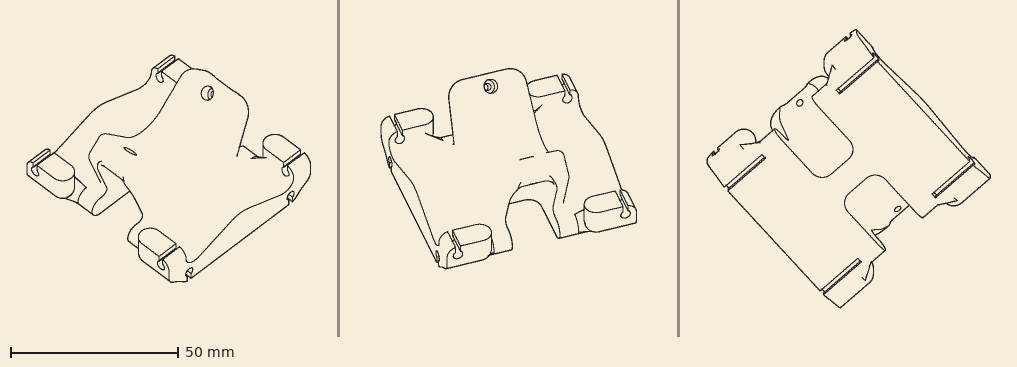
import cadquery as cq
import math

SIZE = 60.0
HALF = SIZE / 2
ROUND = 3.5
SMALL_FILLET = 1.5
EDGE_FILLET = 2.0

BAR_Y = 21.5
BAR_TOP = 2 * ROUND
ROOF_FOOT_Y = 17.9
ROOF_ANGLE = 20.0
ROOF_RIDGE_RADIUS = 10.0

HOOK_TOP = 14.0
HOOK_LENGTH = 15.1
HOOK_WIDTH = 7.2
HOOK_BELLY_Z = 7.4
BELLY_BLEND_RADIUS = 16.5

KEYHOLE_DIAMETER = 3.0
KEYHOLE_SLOT = 1.55

SADDLE_HALF_WIDTH = 11.45
LEG_BOTTOM = 2.15
CRADLE_RADIUS = 10.0
CRADLE_BOTTOM = 17.75
CRADLE_Z = CRADLE_BOTTOM + CRADLE_RADIUS
ARM_LENGTH = 17.0
ARM_THICKNESS = 8.0
TIP_CORNER_RADIUS = 5.0
SCREW_DIAMETER = 2.1
SCREW_HEAD_DIAMETER = 4.2
SCREW_HEAD_DEPTH = 4.0
SCREW_ALONG_ARM = 13.1

HOLLOW_HALF_WIDTH = 7.5
HOLLOW_RADIUS = 20.0
HOLLOW_Y = 23.7
HOLLOW_Z = 3.3
HOLLOW_LIP_RADIUS = 5.0
HOLLOW_CORNER_RADIUS = 4.0

CLEARANCE = 0.05
DIAGONAL = math.sqrt(0.5)


def arm_point(along, depth):
    """(y, z) of a point given along the 45 degree arm and in depth from the cradle axis."""
    return (DIAGONAL * (along + depth), CRADLE_Z + DIAGONAL * (along - depth))


def polar(centre, radius, degrees):
    """(y, z) of a point on a circle."""
    angle = math.radians(degrees)
    return (centre[0] + radius * math.cos(angle), centre[1] + radius * math.sin(angle))


def heading(start, end):
    """Direction in degrees from one point to another."""
    return math.degrees(math.atan2(end[1] - start[1], end[0] - start[0]))


def mirror(point):
    """The (y, z) point on the other side of the XZ plane."""
    return (-point[0], point[1])


def near(x, y, z):
    """Selector for the edge or face whose centre is nearest to a point."""
    return cq.selectors.NearestToPointSelector((x, y, z))


def extrude_x(outline, x_start, x_end):
    """Extrude a YZ outline between two X positions."""
    return outline.extrude(x_end - x_start).translate((x_start, 0, 0))


def on_both_sides(solid):
    """The solid together with its mirror image across the XZ plane."""
    return solid.union(solid.mirror("XZ"))


def on_four_corners(solid):
    """The solid together with its mirror images in X and Y."""
    return on_both_sides(solid.union(solid.mirror("YZ")))


def make_base():
    """Two rounded bars along X joined by a low pitched roof with a rounded ridge."""
    ridge_y = ROOF_RIDGE_RADIUS * math.sin(math.radians(ROOF_ANGLE))
    ridge_z = BAR_TOP + (ROOF_FOOT_Y - ridge_y) * math.tan(math.radians(ROOF_ANGLE))
    ridge_top = ridge_z + ROOF_RIDGE_RADIUS * (1 - math.cos(math.radians(ROOF_ANGLE)))
    outline = (
        cq.Workplane("YZ")
        .moveTo(-BAR_Y, 0)
        .lineTo(BAR_Y, 0)
        .threePointArc((BAR_Y + ROUND, ROUND), (BAR_Y, BAR_TOP))
        .lineTo(ROOF_FOOT_Y, BAR_TOP)
        .lineTo(ridge_y, ridge_z)
        .threePointArc((0, ridge_top), (-ridge_y, ridge_z))
        .lineTo(-ROOF_FOOT_Y, BAR_TOP)
        .lineTo(-BAR_Y, BAR_TOP)
        .threePointArc((-BAR_Y - ROUND, ROUND), (-BAR_Y, 0))
        .close()
    )
    base = extrude_x(outline, -HALF, HALF)
    for y in (-ROOF_FOOT_Y, ROOF_FOOT_Y):
        base = base.edges(near(0, y, BAR_TOP)).fillet(SMALL_FILLET)
    return base


HOOK_WALL_Y = HALF - HOOK_WIDTH
HOOK_END_X = HALF - HOOK_LENGTH
HOOK_ROUND = HOOK_WIDTH / 2
HOOK_STRAIGHT_X = HOOK_END_X + HOOK_ROUND
BAR_CENTRE = (BAR_Y, ROUND)
BELLY_CENTRE = (HALF - HOOK_ROUND, HOOK_BELLY_Z)
THROAT_CENTRE = (HOOK_WALL_Y - ROUND, BAR_TOP + ROUND)
THROAT_FOOT = (THROAT_CENTRE[0], BAR_TOP)
THROAT_TOP = (HOOK_WALL_Y, THROAT_CENTRE[1])
THROAT_MIDDLE = polar(THROAT_CENTRE, ROUND, -45)

BAR_REACH = ROUND + BELLY_BLEND_RADIUS
BELLY_REACH = HOOK_ROUND + BELLY_BLEND_RADIUS
SPACING = math.dist(BAR_CENTRE, BELLY_CENTRE)
BLEND_OFFSET = math.degrees(
    math.acos((SPACING**2 + BAR_REACH**2 - BELLY_REACH**2) / (2 * SPACING * BAR_REACH))
)
BLEND_CENTRE = polar(BAR_CENTRE, BAR_REACH, heading(BAR_CENTRE, BELLY_CENTRE) - BLEND_OFFSET)
BAR_TOUCH_ANGLE = heading(BAR_CENTRE, BLEND_CENTRE)
BELLY_TOUCH_ANGLE = heading(BELLY_CENTRE, BLEND_CENTRE)
BAR_TOUCH = polar(BAR_CENTRE, ROUND, BAR_TOUCH_ANGLE)
BELLY_TOUCH = polar(BELLY_CENTRE, HOOK_ROUND, BELLY_TOUCH_ANGLE)
BLEND_MIDDLE = polar(BLEND_CENTRE, BELLY_BLEND_RADIUS, (BAR_TOUCH_ANGLE + BELLY_TOUCH_ANGLE) / 2 + 180)


def make_hook():
    """Upright hook at the +X +Y corner, with a round throat rising from the bar."""
    outline = (
        cq.Workplane("YZ")
        .moveTo(HOOK_WALL_Y, HOOK_TOP)
        .lineTo(*THROAT_TOP)
        .threePointArc(THROAT_MIDDLE, THROAT_FOOT)
        .lineTo(*BAR_CENTRE)
        .lineTo(*BAR_TOUCH)
        .threePointArc(BLEND_MIDDLE, BELLY_TOUCH)
        .threePointArc(polar(BELLY_CENTRE, HOOK_ROUND, BELLY_TOUCH_ANGLE / 2), (HALF, HOOK_BELLY_Z))
        .lineTo(HALF, HOOK_TOP)
        .close()
    )
    hook = extrude_x(outline, HOOK_STRAIGHT_X, HALF)
    hook = hook.edges(near(HALF, BELLY_CENTRE[0], HOOK_TOP)).fillet(ROUND)
    end = cq.Workplane("XY").circle(HOOK_ROUND).extrude(HOOK_TOP - HOOK_BELLY_Z)
    end = end.union(cq.Workplane("XY").sphere(HOOK_ROUND))
    return hook.union(end.translate((HOOK_STRAIGHT_X, *BELLY_CENTRE)))


def make_hook_flare():
    """Blend that runs the throat and belly of the +X +Y hook out into the plain bar."""
    bar_nose_angle = BAR_TOUCH_ANGLE / 4
    flare_length = HOOK_STRAIGHT_X - HOOK_END_X + SMALL_FILLET
    return (
        cq.Workplane("YZ", origin=(HOOK_STRAIGHT_X, 0, 0))
        .moveTo(*THROAT_FOOT)
        .threePointArc(THROAT_MIDDLE, THROAT_TOP)
        .lineTo(*BELLY_TOUCH)
        .threePointArc(BLEND_MIDDLE, BAR_TOUCH)
        .close()
        .workplane(offset=-flare_length)
        .moveTo(*THROAT_FOOT)
        .lineTo(BAR_Y, BAR_TOP)
        .threePointArc(
            polar(BAR_CENTRE, ROUND, (90 + bar_nose_angle) / 2), polar(BAR_CENTRE, ROUND, bar_nose_angle)
        )
        .threePointArc(polar(BAR_CENTRE, ROUND, (bar_nose_angle + BAR_TOUCH_ANGLE) / 2), BAR_TOUCH)
        .close()
        .loft(ruled=True)
    )


def make_keyhole(length):
    """Keyhole along +Z: a round hole on the axis with a slot opening toward +Y."""
    slot = cq.Workplane("XY").center(0, ROUND / 2).rect(KEYHOLE_SLOT, ROUND).extrude(length)
    return cq.Workplane("XY").circle(KEYHOLE_DIAMETER / 2).extrude(length).union(slot)


def make_keyholes():
    """Keyholes through each hook along Y and into each bar end along X."""
    hook_hole = make_keyhole(HOOK_WIDTH + ROUND).rotate((0, 0, 0), (1, 0, 0), 90)
    hook_hole = hook_hole.translate((HALF - ROUND, HALF, HOOK_TOP - ROUND))
    bar_hole = make_keyhole(HOOK_LENGTH).rotate((0, 0, 0), (0, 0, 1), 180)
    bar_hole = bar_hole.rotate((0, 0, 0), (1, 0, 0), 90).rotate((0, 0, 0), (0, 0, 1), -90)
    bar_hole = bar_hole.translate((HALF, BAR_Y, ROUND))
    return hook_hole, bar_hole


TIP_INNER = arm_point(ARM_LENGTH, CRADLE_RADIUS)
TIP_OUTER = arm_point(ARM_LENGTH, CRADLE_RADIUS + ARM_THICKNESS)


def make_saddle():
    """Two arms spreading at 45 degrees from a round cradle, on legs that stand on the base."""
    cradle_end = arm_point(0, CRADLE_RADIUS)
    leg_slope = (TIP_OUTER[0] - ROOF_FOOT_Y) / (TIP_OUTER[1] - BAR_TOP)
    leg_foot = (ROOF_FOOT_Y - leg_slope * (BAR_TOP - LEG_BOTTOM), LEG_BOTTOM)
    outline = (
        cq.Workplane("YZ")
        .moveTo(*mirror(cradle_end))
        .threePointArc((0, CRADLE_BOTTOM), cradle_end)
        .lineTo(*TIP_INNER)
        .lineTo(*TIP_OUTER)
        .lineTo(*leg_foot)
        .lineTo(*mirror(leg_foot))
        .lineTo(*mirror(TIP_OUTER))
        .lineTo(*mirror(TIP_INNER))
        .close()
    )
    saddle = extrude_x(outline, -SADDLE_HALF_WIDTH, SADDLE_HALF_WIDTH)
    tip_y = (TIP_INNER[0] + TIP_OUTER[0]) / 2
    tip_z = (TIP_INNER[1] + TIP_OUTER[1]) / 2
    for y in (-tip_y, tip_y):
        for x in (-SADDLE_HALF_WIDTH, SADDLE_HALF_WIDTH):
            saddle = saddle.edges(near(x, y, tip_z)).fillet(TIP_CORNER_RADIUS)
    saddle = saddle.edges(near(0, *TIP_INNER)).fillet(EDGE_FILLET)
    for y, z in (TIP_OUTER, mirror(TIP_OUTER)):
        saddle = saddle.edges(near(0, y, z)).fillet(EDGE_FILLET)
    return saddle


def join_saddle(base, saddle):
    """Union of base and saddle with a fillet all round the seam."""
    joined = base.union(saddle)
    seam_zone = cq.selectors.BoxSelector(
        (-SADDLE_HALF_WIDTH - CLEARANCE, -BAR_Y, BAR_TOP - CLEARANCE),
        (SADDLE_HALF_WIDTH + CLEARANCE, BAR_Y, CRADLE_BOTTOM),
        boundingbox=True,
    )
    return joined.edges(seam_zone).fillet(EDGE_FILLET)


def make_hollow():
    """Space under the +Y arm: a large round wall, a rounded lip and the flat arm underside."""
    underside = CRADLE_RADIUS + ARM_THICKNESS
    wall = (HOLLOW_Y, HOLLOW_Z)
    wall_along = DIAGONAL * (wall[0] + wall[1] - CRADLE_Z)
    wall_depth = DIAGONAL * (wall[0] - wall[1] + CRADLE_Z)
    lip_depth = underside - HOLLOW_LIP_RADIUS
    reach = HOLLOW_RADIUS + HOLLOW_LIP_RADIUS
    lip_along = wall_along + math.sqrt(reach**2 - (wall_depth - lip_depth) ** 2)
    lip = arm_point(lip_along, lip_depth)
    lip_start = heading(wall, lip)
    wall_middle = polar(wall, HOLLOW_RADIUS, (lip_start + 180) / 2)
    wall_foot = (HOLLOW_Y - math.sqrt(HOLLOW_RADIUS**2 - HOLLOW_Z**2), 0)
    tip_round = arm_point(ARM_LENGTH - EDGE_FILLET, underside - EDGE_FILLET)
    outline = (
        cq.Workplane("YZ")
        .moveTo(*wall_foot)
        .threePointArc(wall_middle, polar(wall, HOLLOW_RADIUS, lip_start))
        .threePointArc(
            polar(lip, HOLLOW_LIP_RADIUS, (lip_start + 180 - 45) / 2 + 180), arm_point(lip_along, underside)
        )
        .lineTo(*arm_point(ARM_LENGTH - EDGE_FILLET, underside))
        .threePointArc(polar(tip_round, EDGE_FILLET, 0), polar(tip_round, EDGE_FILLET, 45))
        .lineTo(HALF, TIP_OUTER[1])
        .lineTo(HALF, 0)
        .close()
    )
    hollow = extrude_x(outline, -HOLLOW_HALF_WIDTH, HOLLOW_HALF_WIDTH)
    for x in (-HOLLOW_HALF_WIDTH, HOLLOW_HALF_WIDTH):
        hollow = hollow.edges(near(x, *wall_middle)).fillet(HOLLOW_CORNER_RADIUS)
    return hollow


def make_screw_hole():
    """Counterbored hole square to the cradle face of the +Y arm."""
    y, z = arm_point(SCREW_ALONG_ARM, CRADLE_RADIUS)
    plane = cq.Plane(origin=(0, y, z), xDir=(1, 0, 0), normal=(0, DIAGONAL, -DIAGONAL))
    head = cq.Workplane(plane).circle(SCREW_HEAD_DIAMETER / 2).extrude(SCREW_HEAD_DEPTH)
    return head.union(cq.Workplane(plane).circle(SCREW_DIAMETER / 2).extrude(ARM_THICKNESS + CLEARANCE))


result = join_saddle(make_base(), make_saddle())
result = result.union(on_four_corners(make_hook().union(make_hook_flare())))
for opening in (make_hollow(), make_screw_hole()):
    result = result.cut(on_both_sides(opening))
for keyhole in make_keyholes():
    result = result.cut(on_four_corners(keyhole))